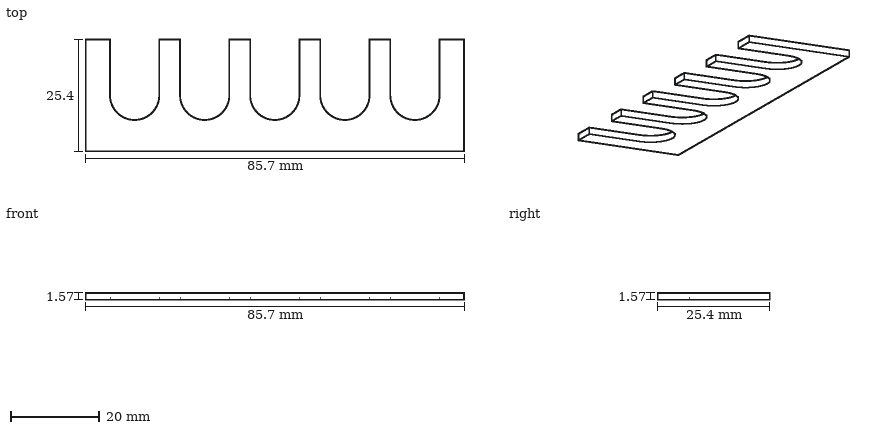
import cadquery as cq

plate_length = 85.72
plate_width = 25.4
plate_thickness = 1.57

slot_count = 5
slot_pitch = 15.875
slot_width = 11.1125
web_below_slots = 7.14

slot_radius = slot_width / 2
open_edge_y = plate_width / 2
arc_center_y = -plate_width / 2 + web_below_slots + slot_radius


def make_plate():
    """Plain rectangular plate."""
    return cq.Workplane("XY").box(
        plate_length, plate_width, plate_thickness, centered=(True, True, False)
    )


def make_slot(center_x):
    """Cutter for one U-shaped slot through the full thickness."""
    left_x = center_x - slot_radius
    right_x = center_x + slot_radius
    return (
        cq.Workplane("XY")
        .moveTo(left_x, open_edge_y)
        .lineTo(left_x, arc_center_y)
        .threePointArc((center_x, arc_center_y - slot_radius), (right_x, arc_center_y))
        .lineTo(right_x, open_edge_y)
        .close()
        .extrude(plate_thickness)
    )


result = make_plate()
for index in range(slot_count):
    slot_x = (index - (slot_count - 1) / 2) * slot_pitch
    result = result.cut(make_slot(slot_x))